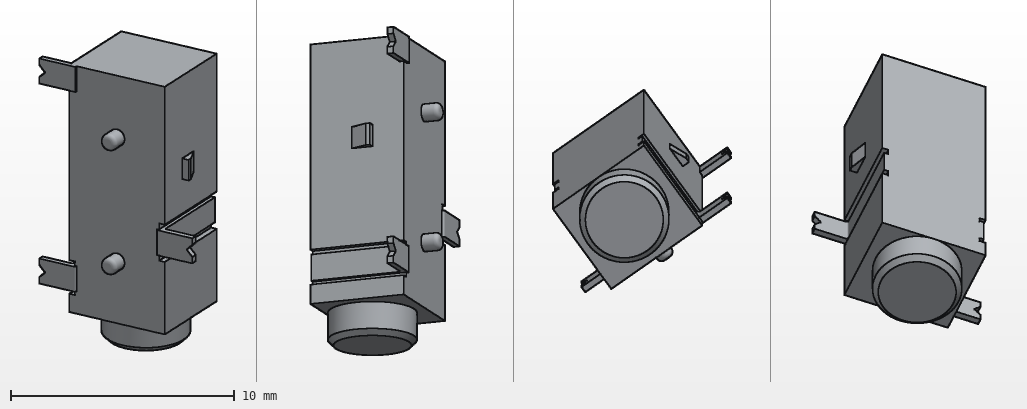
import cadquery as cq

barrel_diameter = 4.0
barrel_length = 1.5
barrel_chamfer = 0.25
body_width = 5.0
body_depth = 4.5
body_height = 13.5 - barrel_length
body_side = body_width / 2
body_back = barrel_diameter / 2
body_front = body_back - body_depth

pin_diameter = 0.8
pin_length = 0.81
pin_tip_radius = 0.2
pin_heights = (3.0, 9.0)

wedge_height = 1.0
wedge_center_z = 7.49
wedge_reach = 0.34
wedge_depth = 1.0
wedge_flat = 0.2

terminal_reach = 8.0 / 2
terminal_inner = 2.1
terminal_width = 1.22
terminal_thickness = 0.3
terminal_standoff = 0.11
bend_radius = 0.1
notch_depth = 0.3
terminal_front = body_front - terminal_standoff
terminal_back = terminal_front + terminal_thickness
leg_outer = terminal_inner + terminal_thickness

slot_depth = 0.3
left_slot_height = 1.62
left_terminal_z = 1.7
right_slot_height = 1.81
right_terminal_z = 4.41


def box(x_range, y_range, z_range):
    """Box spanning the given (low, high) pairs."""
    spans = (x_range, y_range, z_range)
    size = [high - low for low, high in spans]
    corner = tuple(low for low, high in spans)
    return cq.Workplane("XY").box(*size, centered=False).translate(corner)


def on_side(shape, side):
    """Keep a shape on +X for side 1, mirror it to -X for side -1."""
    return shape if side > 0 else shape.mirror("YZ")


def extrude_z(outline, center_z, height):
    """Extrude an XY outline symmetrically about center_z."""
    return outline.extrude(height / 2, both=True).translate((0, 0, center_z))


def barrel():
    cylinder = cq.Workplane("XY").circle(barrel_diameter / 2).extrude(-barrel_length)
    return cylinder.faces("<Z").chamfer(barrel_chamfer)


def pin(z):
    shank = cq.Workplane("XZ", origin=(0, body_front, z)).circle(pin_diameter / 2).extrude(pin_length)
    return shank.faces("<Y").edges().fillet(pin_tip_radius)


def wedge(side):
    wedge_front = -wedge_depth
    tip = body_side + wedge_reach
    outline = cq.Workplane("XY").polyline([
        (body_side, 0),
        (tip, wedge_front + wedge_flat),
        (tip, wedge_front),
        (body_side, wedge_front),
    ]).close()
    return on_side(extrude_z(outline, wedge_center_z, wedge_height), side)


def slot(side, center_z, height):
    cutter = box(
        (body_side - slot_depth, body_side),
        (body_front, body_back),
        (center_z - height / 2, center_z + height / 2),
    )
    return on_side(cutter, side)


def cut_notch(plate, center_z):
    """Cut the V notch in the free end of a terminal on +X."""
    outline = cq.Workplane("XZ").polyline([
        (terminal_reach, center_z - notch_depth),
        (terminal_reach - notch_depth, center_z),
        (terminal_reach, center_z + notch_depth),
    ]).close()
    return plate.cut(outline.extrude(-2 * body_depth, both=True))


def flat_terminal(side, center_z):
    plate = box(
        (terminal_inner, terminal_reach),
        (terminal_front, terminal_back),
        (center_z - terminal_width / 2, center_z + terminal_width / 2),
    )
    return on_side(cut_notch(plate, center_z), side)


def bent_terminal(side, center_z):
    """L-shaped terminal whose leg runs along the slot to the back of the housing."""
    outline = cq.Workplane("XY").polyline([
        (terminal_inner, terminal_front),
        (terminal_reach, terminal_front),
        (terminal_reach, terminal_back),
        (leg_outer, terminal_back),
        (leg_outer, body_back),
        (terminal_inner, body_back),
    ]).close()
    strip = extrude_z(outline, center_z, terminal_width)
    inner_corner = cq.selectors.NearestToPointSelector((leg_outer, terminal_back, center_z))
    strip = strip.edges("|Z").edges(inner_corner).fillet(bend_radius)
    outer_corner = cq.selectors.NearestToPointSelector((terminal_inner, terminal_front, center_z))
    strip = strip.edges("|Z").edges(outer_corner).fillet(bend_radius)
    return on_side(cut_notch(strip, center_z), side)


result = box((-body_side, body_side), (body_front, body_back), (0, body_height))
result = result.cut(slot(-1, left_terminal_z, left_slot_height))
result = result.cut(slot(1, right_terminal_z, right_slot_height))
result = result.union(barrel())
for pin_z in pin_heights:
    result = result.union(pin(pin_z))
for wedge_side in (-1, 1):
    result = result.union(wedge(wedge_side))
result = result.union(flat_terminal(-1, body_height - terminal_width / 2))
result = result.union(bent_terminal(-1, left_terminal_z))
result = result.union(bent_terminal(1, right_terminal_z))